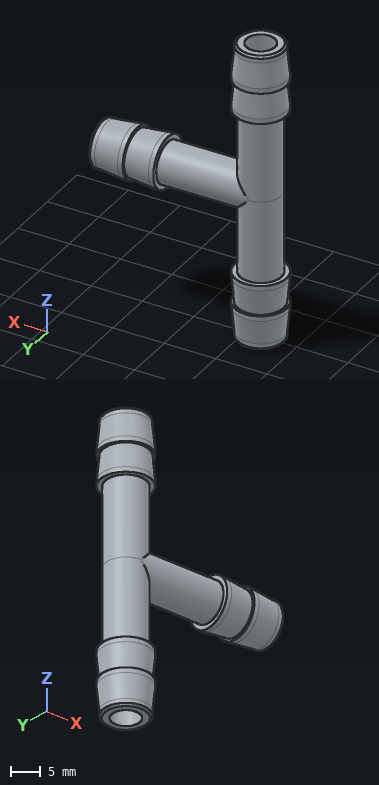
import cadquery as cq

run_length = 58.0
branch_reach = 31.05
tube_diameter = 8.0
bore_diameter = 5.5
barb_diameter = 10.0
tip_diameter = 9.0
tip_chamfer = 0.4
tip_land = 1.3
crest_width = 1.0
first_barb_end = 7.0
second_barb_end = 13.0

tube_radius = tube_diameter / 2
bore_radius = bore_diameter / 2
barb_radius = barb_diameter / 2
tip_radius = tip_diameter / 2


def hose_arm(length):
    """Solid arm along +Z from the origin, with two hose barbs at its open end."""
    profile = [
        (0, 0),
        (tube_radius, 0),
        (tube_radius, length - second_barb_end),
        (barb_radius, length - second_barb_end),
        (barb_radius, length - second_barb_end + crest_width),
        (tip_radius, length - first_barb_end),
        (barb_radius, length - first_barb_end),
        (barb_radius, length - first_barb_end + crest_width),
        (tip_radius, length - tip_land),
        (tip_radius, length - tip_chamfer),
        (tip_radius - tip_chamfer, length),
        (0, length),
    ]
    return cq.Workplane("XZ").polyline(profile).close().revolve(360, (0, 0, 0), (0, 1, 0))


upper_arm = hose_arm(run_length / 2)
lower_arm = upper_arm.mirror("XY")

branch = hose_arm(branch_reach).rotate((0, 0, 0), (0, 1, 0), 90)
body = upper_arm.union(lower_arm).union(branch)

run_bore = cq.Workplane("XY").circle(bore_radius).extrude(run_length / 2, both=True)
branch_bore = cq.Workplane("YZ").circle(bore_radius).extrude(branch_reach)

result = body.cut(run_bore).cut(branch_bore).clean()